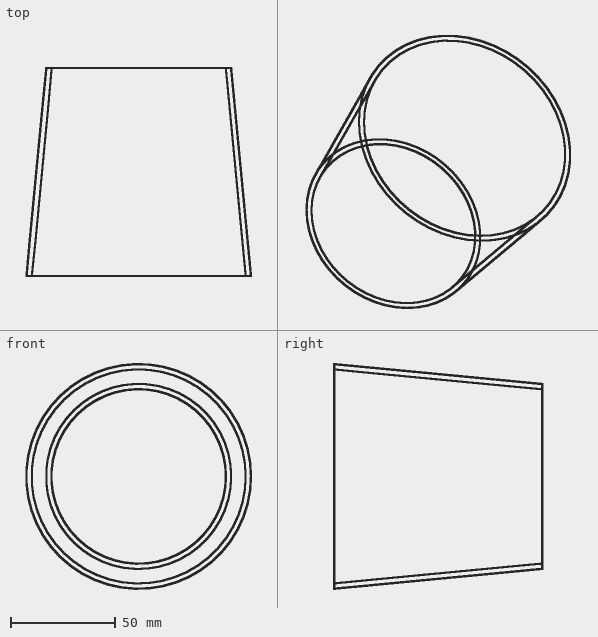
import cadquery as cq

large_diameter = 108.0
small_diameter = 88.9
length = 100.0
wall = 2.6

large_radius = large_diameter / 2
small_radius = small_diameter / 2

wall_section = (
    cq.Workplane("XY")
    .moveTo(large_radius - wall, 0)
    .lineTo(large_radius, 0)
    .lineTo(small_radius, length)
    .lineTo(small_radius - wall, length)
    .close()
)

result = wall_section.revolve(360, (0, 0, 0), (0, 1, 0))